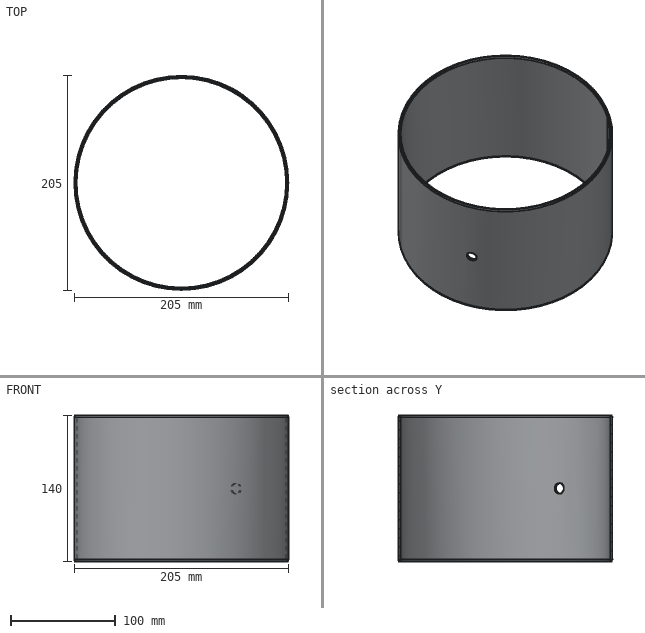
import cadquery as cq

outer_diameter = 205.0
height = 140.0
wall = 2.5
chamfer_height = 2.0
chamfer_depth = 0.72
hole_diameter = 10.0
hole_angle = 59.0
slit_width = 1.5
slit_center_y = 0.8

outer_radius = 0.5 * outer_diameter
inner_radius = outer_radius - wall


def make_sleeve():
    """Thin open tube standing on Z = 0, with steep chamfers on both sides of each rim."""
    tube = cq.Workplane("XY").circle(outer_radius).circle(inner_radius).extrude(height)
    rim_edges = tube.faces("<Z or >Z").edges()
    return rim_edges.chamfer(chamfer_height, chamfer_depth)


def make_slit():
    """Full-height cutter that splits the wall on the -X side."""
    slit_length = 2 * wall
    middle_of_wall = outer_radius - 0.5 * wall
    return (
        cq.Workplane("XY")
        .center(-middle_of_wall, slit_center_y)
        .rect(slit_length, slit_width)
        .extrude(height)
    )


def make_radial_hole():
    """Cutter for the single radial hole at mid-height."""
    return (
        cq.Workplane("YZ")
        .center(0, 0.5 * height)
        .circle(0.5 * hole_diameter)
        .extrude(outer_diameter)
        .rotate((0, 0, 0), (0, 0, 1), hole_angle)
    )


result = make_sleeve().cut(make_slit()).cut(make_radial_hole())